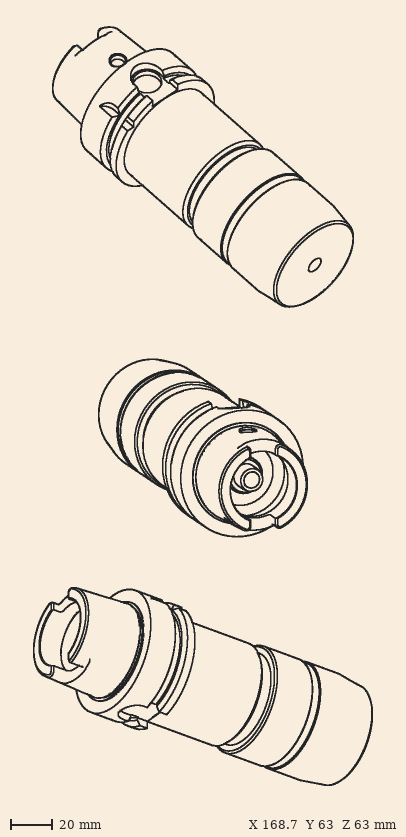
import cadquery as cq
import math


TOTAL_LENGTH = 168.7
SHANK_END = 30.7
FLANGE_START = 31.7
FLANGE_LENGTH = 26.3
FLANGE_END = FLANGE_START + FLANGE_LENGTH
BODY_END = 103.0
NUT_START = 109.0
NUT_CONE_START = 154.3

SHANK_LARGE_DIA = 48.2
SHANK_MOUTH_DIA = 45.4
MOUTH_CHAMFER = 0.9
RELIEF_DIA = 47.0
RELIEF_OUTER_DIA = 50.4
RELIEF_DEPTH = 0.5

FLANGE_DIA = 63.0
GRIP_START = 46.4
GRIP_END = 53.6
GRIP_FLANK_LENGTH = 1.6
GRIP_FLANK_DEPTH = 2.5
GRIP_DIA = 55.0

BODY_DIA = 52.6
BODY_CHAMFER = 1.6
NECK_DIA = 47.0
NUT_DIA = 55.0
NUT_EDGE_CHAMFER = 1.0
NUT_GROOVE_START = 131.3
NUT_GROOVE_END = 135.7
NUT_GROOVE_DEPTH = 0.5
NUT_FRONT_DIA = 51.2
NUT_FRONT_CHAMFER = 1.0

BORE_DIA = 34.0
BORE_MOUTH_DIA = 34.5
BORE_MOUTH_DEPTH = 0.5
CLAMP_CONE_START = 12.9
CLAMP_CONE_ANGLE = 60.0
CLAMP_BORE_DIA = 40.0
CAVITY_FLOOR = 31.0
FLOOR_DIA = 31.4
THROUGH_BORE_DIA = 8.0

TUBE_DIA = 12.0
TUBE_TIP_DIA = 11.3
TUBE_TIP_START = 17.5
TUBE_TIP_END = 20.9
TUBE_NUT_DIA = 18.0
TUBE_NUT_START = 26.6
TUBE_NUT_CHAMFER = 0.9

SLOT_WIDTH = 12.6
SLOT_DEPTH_TOP = 5.8
SLOT_DEPTH_BOTTOM = 9.7
SLOT_INNER_Z = 10.0
SLOT_FLOOR_FILLET = 1.5
SLOT_SIDE_ROUND = 2.2
SLOT_EDGE_CHAMFER = 0.9
SLOT_ARC_Y = SLOT_WIDTH / 2 + SLOT_SIDE_ROUND
SLOT_ARC_Z = math.sqrt((SHANK_MOUTH_DIA / 2 - SLOT_SIDE_ROUND) ** 2 - SLOT_ARC_Y ** 2)

ACCESS_HOLE_X = 23.0
ACCESS_HOLE_DIA = 7.5
ACCESS_HOLE_RIM_DIA = 8.4
ACCESS_RIM_DEPTH = 0.9

KEYWAY_WIDTH = 16.0
KEYWAY_FLOOR_RADIUS = 26.5
KEYWAY_CENTRE_X = 44.6
RECESS_DIA = 14.0
RECESS_FLOOR_Z = 23.3
NOTCH_OFFSET = 20.3
NOTCH_END_RADIUS = 8.0
NOTCH_CENTRE_X = 44.0

CLEARANCE = 10.0


def revolve_about_x(points):
    """Revolve a closed outline of (x, radius) points about the X axis."""
    return cq.Workplane("XY").polyline(points).close().revolve(360, (0, 0, 0), (1, 0, 0))


def block(x_range, y_range, z_range):
    """Box spanning the given ranges."""
    sizes = [high - low for low, high in (x_range, y_range, z_range)]
    corner = (x_range[0], y_range[0], z_range[0])
    return cq.Workplane("XY").box(*sizes, centered=False).translate(corner)


def upright_cylinder(x, y, radius, z_low, z_high):
    """Cylinder along Z between two heights."""
    return cq.Workplane("XY", origin=(x, y, z_low)).circle(radius).extrude(z_high - z_low)


def shank_radius(x):
    """Outside radius of the tapered shank at position x."""
    slope = (SHANK_LARGE_DIA - SHANK_MOUTH_DIA) / 2 / SHANK_END
    return SHANK_MOUTH_DIA / 2 + slope * x


def outer_body():
    flange_r = FLANGE_DIA / 2
    flank_r = flange_r - GRIP_FLANK_DEPTH
    body_r = BODY_DIA / 2
    nut_r = NUT_DIA / 2
    nut_groove_r = nut_r - NUT_GROOVE_DEPTH
    front_r = NUT_FRONT_DIA / 2
    return revolve_about_x([
        (0, 0),
        (0, shank_radius(0) - MOUTH_CHAMFER),
        (MOUTH_CHAMFER, shank_radius(MOUTH_CHAMFER)),
        (SHANK_END, shank_radius(SHANK_END)),
        (SHANK_END, RELIEF_DIA / 2),
        (FLANGE_START + RELIEF_DEPTH, RELIEF_DIA / 2),
        (FLANGE_START + RELIEF_DEPTH, RELIEF_OUTER_DIA / 2),
        (FLANGE_START, RELIEF_OUTER_DIA / 2),
        (FLANGE_START, flange_r),
        (GRIP_START, flange_r),
        (GRIP_START + GRIP_FLANK_LENGTH, flank_r),
        (GRIP_START + GRIP_FLANK_LENGTH, GRIP_DIA / 2),
        (GRIP_END - GRIP_FLANK_LENGTH, GRIP_DIA / 2),
        (GRIP_END - GRIP_FLANK_LENGTH, flank_r),
        (GRIP_END, flange_r),
        (FLANGE_END, flange_r),
        (FLANGE_END, body_r),
        (BODY_END - BODY_CHAMFER, body_r),
        (BODY_END, body_r - BODY_CHAMFER),
        (BODY_END, NECK_DIA / 2),
        (NUT_START, NECK_DIA / 2),
        (NUT_START, nut_r - NUT_EDGE_CHAMFER),
        (NUT_START + NUT_EDGE_CHAMFER, nut_r),
        (NUT_GROOVE_START - NUT_GROOVE_DEPTH, nut_r),
        (NUT_GROOVE_START, nut_groove_r),
        (NUT_GROOVE_END - NUT_GROOVE_DEPTH, nut_groove_r),
        (NUT_GROOVE_END, nut_r),
        (NUT_CONE_START, nut_r),
        (TOTAL_LENGTH - NUT_FRONT_CHAMFER, front_r),
        (TOTAL_LENGTH, front_r - NUT_FRONT_CHAMFER),
        (TOTAL_LENGTH, 0),
    ])


def shank_cavity():
    """Space inside the shank, around the coolant tube and its nut."""
    bore_r = BORE_DIA / 2
    clamp_r = CLAMP_BORE_DIA / 2
    floor_r = FLOOR_DIA / 2
    nut_r = TUBE_NUT_DIA / 2
    cone_length = (clamp_r - bore_r) / math.tan(math.radians(CLAMP_CONE_ANGLE))
    return revolve_about_x([
        (0, 0),
        (0, BORE_MOUTH_DIA / 2),
        (BORE_MOUTH_DEPTH, bore_r),
        (CLAMP_CONE_START, bore_r),
        (CLAMP_CONE_START + cone_length, clamp_r),
        (CAVITY_FLOOR - (clamp_r - floor_r), clamp_r),
        (CAVITY_FLOOR, floor_r),
        (CAVITY_FLOOR, nut_r),
        (TUBE_NUT_START + TUBE_NUT_CHAMFER, nut_r),
        (TUBE_NUT_START, nut_r - TUBE_NUT_CHAMFER),
        (TUBE_NUT_START, TUBE_DIA / 2),
        (TUBE_TIP_END, TUBE_DIA / 2),
        (TUBE_TIP_START, TUBE_TIP_DIA / 2),
        (TUBE_TIP_START, 0),
    ])


def through_bore():
    return cq.Workplane("YZ").circle(THROUGH_BORE_DIA / 2).extrude(TOTAL_LENGTH)


def slot_outline(plane, widening=0.0):
    """Draw the outline of a +Z drive slot, its walls moved outwards by the widening.

    Each slot wall runs straight outwards, then flares in an arc that ends
    tangent to the outside of the shank.
    """
    half = SLOT_WIDTH / 2 + widening
    arc_r = SLOT_SIDE_ROUND - widening
    mouth_r = SHANK_MOUTH_DIA / 2
    end_angle = math.acos(SLOT_ARC_Y / (mouth_r - SLOT_SIDE_ROUND))
    mid_angle = (end_angle + math.pi) / 2

    def on_arc(angle, y_sign):
        y = SLOT_ARC_Y + arc_r * math.cos(angle)
        return y_sign * y, SLOT_ARC_Z + arc_r * math.sin(angle)

    end_y, end_z = on_arc(end_angle, 1)
    far_y = end_y + CLEARANCE * math.sin(end_angle)
    far_z = end_z - CLEARANCE * math.cos(end_angle)
    top_z = mouth_r + CLEARANCE
    return (
        plane.moveTo(-half, SLOT_INNER_Z)
        .lineTo(half, SLOT_INNER_Z)
        .lineTo(half, SLOT_ARC_Z)
        .threePointArc(on_arc(mid_angle, 1), (end_y, end_z))
        .lineTo(far_y, far_z)
        .lineTo(far_y, top_z)
        .lineTo(-far_y, top_z)
        .lineTo(-far_y, far_z)
        .lineTo(-end_y, end_z)
        .threePointArc(on_arc(mid_angle, -1), (-half, SLOT_ARC_Z))
        .close()
    )


def drive_slot(depth, side):
    """Slot cutter at the shank mouth; side is +1 for +Z and -1 for -Z."""
    slot = slot_outline(cq.Workplane("YZ")).extrude(depth)
    half = SLOT_WIDTH / 2
    for y in (-half, half):
        wall_middle = (depth, y, (SLOT_INNER_Z + SLOT_ARC_Z) / 2)
        slot = slot.edges(cq.selectors.NearestToPointSelector(wall_middle)).fillet(SLOT_FLOOR_FILLET)

    edge_break = slot_outline(cq.Workplane("YZ"), SLOT_EDGE_CHAMFER)
    edge_break = slot_outline(edge_break.workplane(offset=SLOT_EDGE_CHAMFER)).loft(ruled=True)
    slot = slot.union(edge_break)
    return slot if side > 0 else slot.rotate((0, 0, 0), (1, 0, 0), 180)


def access_hole():
    rim_z = shank_radius(ACCESS_HOLE_X) - ACCESS_RIM_DEPTH
    top_z = shank_radius(ACCESS_HOLE_X) + CLEARANCE
    hole = upright_cylinder(ACCESS_HOLE_X, 0, ACCESS_HOLE_DIA / 2, BORE_DIA / 2, top_z)
    rim = upright_cylinder(ACCESS_HOLE_X, 0, ACCESS_HOLE_RIM_DIA / 2, rim_z, top_z)
    return hole.union(rim)


def keyway():
    """Keyway on the +Z side, round at its closed end and open at the flange end."""
    half = KEYWAY_WIDTH / 2
    top_z = FLANGE_DIA / 2 + CLEARANCE
    channel = block((KEYWAY_CENTRE_X, FLANGE_END), (-half, half), (KEYWAY_FLOOR_RADIUS, top_z))
    return channel.union(upright_cylinder(KEYWAY_CENTRE_X, 0, half, KEYWAY_FLOOR_RADIUS, top_z))


def keyway_recess():
    return upright_cylinder(KEYWAY_CENTRE_X, 0, RECESS_DIA / 2, RECESS_FLOOR_Z, KEYWAY_FLOOR_RADIUS)


def orientation_notch():
    """Square-cornered notch on the -Y, +Z side of the flange, rounded at its closed end."""
    outside = FLANGE_DIA / 2 + CLEARANCE
    channel = block((NOTCH_CENTRE_X, FLANGE_END), (-outside, -NOTCH_OFFSET), (NOTCH_OFFSET, outside))
    end_y = -NOTCH_OFFSET - NOTCH_END_RADIUS
    return channel.union(upright_cylinder(NOTCH_CENTRE_X, end_y, NOTCH_END_RADIUS, NOTCH_OFFSET, outside))


result = outer_body().cut(shank_cavity()).cut(through_bore())
result = result.cut(drive_slot(SLOT_DEPTH_TOP, 1)).cut(drive_slot(SLOT_DEPTH_BOTTOM, -1))
result = result.cut(access_hole())
result = result.cut(keyway()).cut(keyway().rotate((0, 0, 0), (1, 0, 0), 180))
result = result.cut(keyway_recess()).cut(orientation_notch())